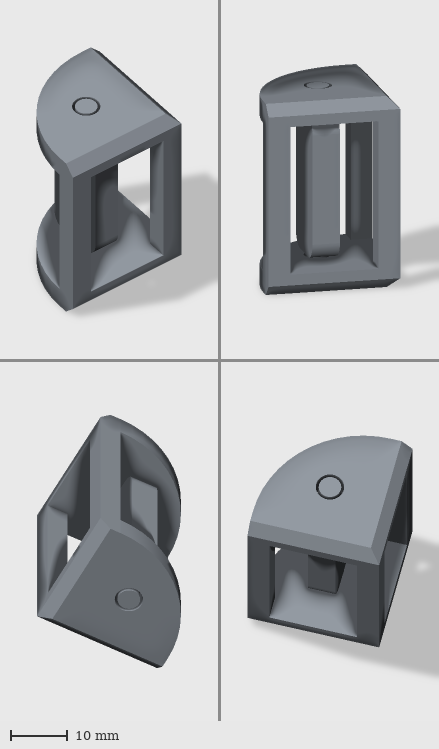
import cadquery as cq
import math

height = 35.0
side = 24.0
post = 4.0
plate_thickness = post
chamfer = 2.0
hole_diameter = 5.0

pin_diameter = 4.0
paddle_width = side / 2
paddle_thickness = 5.0
paddle_corner_radius = 3.0
end_gap = 0.5

arc_radius = side - post
arc_midpoint = arc_radius * (1 - math.sqrt(0.5))
axis = side / 2
opening_height = height - 2 * plate_thickness
paddle_height = opening_height - 2 * end_gap


def quarter_round_block():
    """Full-height block with its -X, -Y corner rounded off."""
    return (
        cq.Workplane("XY")
        .moveTo(arc_radius, 0)
        .lineTo(side, 0)
        .lineTo(side, side)
        .lineTo(0, side)
        .lineTo(0, arc_radius)
        .threePointArc((arc_midpoint, arc_midpoint), (arc_radius, 0))
        .close()
        .extrude(height)
    )


def end_plates_only(block):
    """Remove everything between the two end plates."""
    cutter = (
        cq.Workplane("XY", origin=(0, 0, plate_thickness))
        .rect(side, side, centered=False)
        .extrude(opening_height)
    )
    return block.cut(cutter)


def corner_post(x, y):
    return (
        cq.Workplane("XY", origin=(x, y, 0))
        .rect(post, post, centered=False)
        .extrude(height)
    )


def make_frame():
    frame = end_plates_only(quarter_round_block())
    far = side - post
    for x, y in [(0, far), (far, far), (far, 0)]:
        frame = frame.union(corner_post(x, y))
    frame = frame.clean()

    for flat_side in (">X", ">Y"):
        frame = frame.faces(flat_side).edges("<Z or >Z").chamfer(chamfer)

    pivot_holes = cq.Workplane("XY").center(axis, axis).circle(hole_diameter / 2).extrude(height)
    return frame.cut(pivot_holes)


def make_paddle():
    slab = (
        cq.Workplane("XY")
        .box(paddle_width, paddle_thickness, paddle_height)
        .edges("|Y")
        .fillet(paddle_corner_radius)
        .translate((axis, axis, height / 2))
    )
    pin = cq.Workplane("XY").center(axis, axis).circle(pin_diameter / 2).extrude(height)
    return slab.union(pin)


frame = make_frame()
paddle = make_paddle()

result = cq.Compound.makeCompound([frame.val(), paddle.val()])